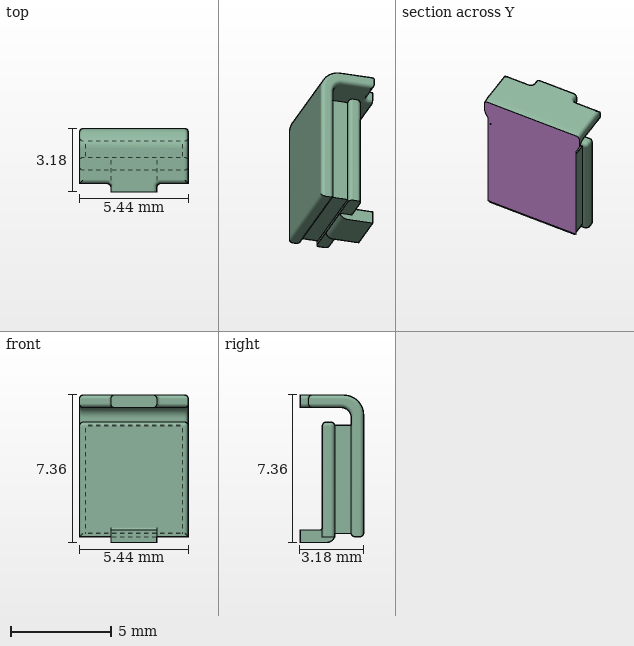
import cadquery as cq

width = 5.44
depth = 3.18
height = 7.36

thickness = 0.63
edge_radius = 0.2
bend_outer_radius = 1.0
bend_inner_radius = 0.5
plate_bottom = 0.29

front_plate_top = 6.005
spacer_inset = 0.3
spacer_thickness = 0.81
spacer_bottom = 0.44
spacer_top = 5.85
foot_fillet = 0.1
foot_heel_radius = 0.4

tab_width = 2.3
tab_length = 0.43
tab_corner_radius = 0.2

back_plate_front = depth - thickness
front_plate_back = back_plate_front - spacer_thickness
front_plate_front = front_plate_back - thickness
flange_underside = height - thickness

tolerance = 0.001


def block(size_x, y_min, y_max, z_min, z_max):
    """Box centred on X = 0 between the given Y and Z limits."""
    box = cq.Workplane("XY").box(size_x, y_max - y_min, z_max - z_min)
    return box.translate((0, (y_min + y_max) / 2, (z_min + z_max) / 2))


def is_skin_outline(edge):
    """True for edges around the broad faces of the bent plate, apart from the end of its tab."""
    center = edge.Center()
    at_tab_end = center.y < tolerance
    across_thickness = abs(edge.Length() - thickness) < tolerance
    full_width = abs(edge.Length() - width) < tolerance
    bend_line = full_width and center.z > plate_bottom + tolerance
    return not (at_tab_end or across_thickness or bend_line)


def bent_plate():
    """Back plate and top flange in one bent sheet, narrowing to a tab."""
    plate = (
        cq.Workplane("YZ")
        .moveTo(depth, plate_bottom)
        .lineTo(depth, height - bend_outer_radius)
        .radiusArc((depth - bend_outer_radius, height), -bend_outer_radius)
        .lineTo(0, height)
        .lineTo(0, flange_underside)
        .lineTo(back_plate_front - bend_inner_radius, flange_underside)
        .radiusArc((back_plate_front, flange_underside - bend_inner_radius), bend_inner_radius)
        .lineTo(back_plate_front, plate_bottom)
        .close()
        .extrude(width / 2, both=True)
    )
    notch_width = (width - tab_width) / 2
    notch_offset = (tab_width + notch_width) / 2
    notch = block(notch_width, 0, tab_length, flange_underside, height)
    for side in (-1, 1):
        plate = plate.cut(notch.translate((side * notch_offset, 0, 0)))
    for side in (-1, 1):
        tab_root = (side * tab_width / 2, tab_length, height - thickness / 2)
        plate = plate.edges(cq.NearestToPointSelector(tab_root)).fillet(tab_corner_radius)
    outline = [edge for edge in plate.edges().vals() if is_skin_outline(edge)]
    return plate.newObject(outline).fillet(edge_radius)


def front_plate():
    """Flat plate rounded on every edge except around its bottom face."""
    plate = block(width, front_plate_front, front_plate_back, plate_bottom, front_plate_top)
    return plate.edges("not(<Z)").fillet(edge_radius)


def spacer():
    """Core between the two plates, set in from their side edges."""
    return block(width - 2 * spacer_inset, front_plate_back, back_plate_front, spacer_bottom, spacer_top)


def foot():
    """Foot bent forward from the bottom of the front plate."""
    profile = (
        cq.Workplane("YZ")
        .moveTo(0, 0)
        .lineTo(front_plate_back - foot_heel_radius, 0)
        .radiusArc((front_plate_back, foot_heel_radius), -foot_heel_radius)
        .lineTo(front_plate_back, thickness + foot_fillet)
        .lineTo(front_plate_front, thickness + foot_fillet)
        .radiusArc((front_plate_front - foot_fillet, thickness), foot_fillet)
        .lineTo(0, thickness)
        .close()
    )
    return profile.extrude(tab_width / 2, both=True)


result = bent_plate().union(spacer()).union(front_plate()).union(foot())